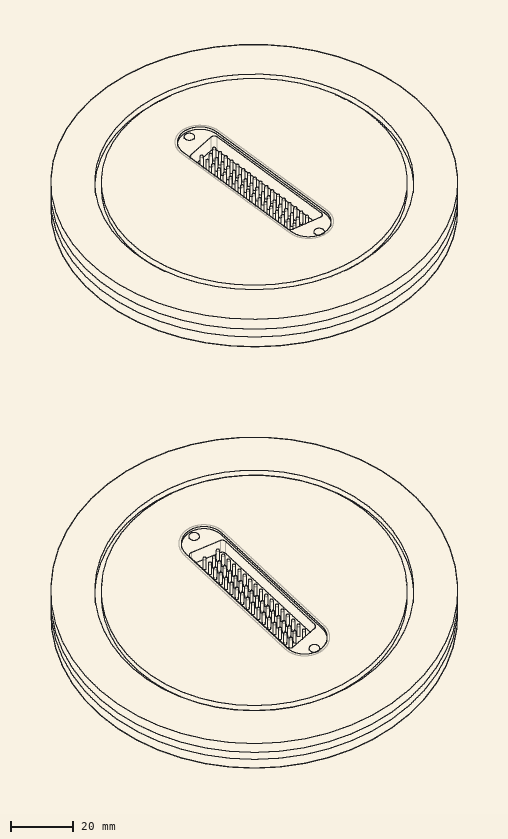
import cadquery as cq
import math

disc_diameter = 130.0
disc_height = 12.0
rim_groove_radius = 1.7

ring_outer_diameter = 102.0
ring_inner_diameter = 97.8
ring_depth = 2.6

body_length = 67.1
body_width = 16.0
body_wall = 0.8
recess_depth = 1.0

layer_height = 0.8
flange_bottom = -2 * layer_height
shell_bottom = -3 * layer_height

screw_spacing = 61.1
screw_diameter = 3.4
screw_hole_depth = 3.9
nose_radius = (body_length - screw_spacing) / 2
flange_corner_radius = 1.7

shell_width = 13.0
shell_mid_length = 49.8
shell_side_angle = 10.0
shell_corner_radius = 1.3
socket_depth = 5.9

pin_diameter = 1.0
pin_pitch = 2.7
pin_row_spacing = 2.7
pins_outer_row = 17
pins_middle_row = 16
pin_height = 5.3


def slot_prism(length, width, bottom, height):
    """Straight prism with semicircular ends, lying along X."""
    return cq.Workplane("XY").workplane(offset=bottom).slot2D(length, width).extrude(height)


def d_prism(wide_side, bottom, height):
    """D-shaped prism; wide_side is +1 when the long side faces +Y, -1 when it faces -Y."""
    half_width = shell_width / 2
    side_shift = half_width * math.tan(math.radians(shell_side_angle))
    long_half = shell_mid_length / 2 + side_shift
    short_half = shell_mid_length / 2 - side_shift
    corners = [
        (-long_half, wide_side * half_width),
        (long_half, wide_side * half_width),
        (short_half, -wide_side * half_width),
        (-short_half, -wide_side * half_width),
    ]
    prism = cq.Workplane("XY").workplane(offset=bottom).polyline(corners).close().extrude(height)
    return prism.edges("|Z").fillet(shell_corner_radius)


def make_disc():
    """Disc with a half-round groove round the rim and a ring groove in the top."""
    radius = disc_diameter / 2
    mid_height = disc_height / 2
    disc = (
        cq.Workplane("XZ")
        .moveTo(0, 0)
        .lineTo(radius, 0)
        .lineTo(radius, mid_height - rim_groove_radius)
        .threePointArc((radius - rim_groove_radius, mid_height), (radius, mid_height + rim_groove_radius))
        .lineTo(radius, disc_height)
        .lineTo(0, disc_height)
        .close()
        .revolve(360, (0, 0, 0), (0, 1, 0))
    )
    ring = (
        cq.Workplane("XY")
        .workplane(offset=disc_height - ring_depth)
        .circle(ring_outer_diameter / 2)
        .circle(ring_inner_diameter / 2)
        .extrude(ring_depth)
    )
    return disc.cut(ring)


def make_screw_flange():
    """Flange that tapers from the shell to a round nose about each screw hole."""
    screw_x = screw_spacing / 2
    half_width = shell_width / 2
    shoulder_x = shell_mid_length / 2
    shoulder_distance = math.hypot(screw_x - shoulder_x, half_width)
    shoulder_direction = math.atan2(half_width, shoulder_x - screw_x)
    side_normal_angle = shoulder_direction - math.acos(nose_radius / shoulder_distance)
    tip_x = screw_x + nose_radius / math.cos(side_normal_angle)
    corners = [
        (-tip_x, 0),
        (-shoulder_x, half_width),
        (shoulder_x, half_width),
        (tip_x, 0),
        (shoulder_x, -half_width),
        (-shoulder_x, -half_width),
    ]
    outline = cq.Workplane("XY").workplane(offset=flange_bottom).polyline(corners).close()
    flange = outline.extrude(layer_height)
    flange = flange.edges("|Z and (>Y or <Y)").fillet(flange_corner_radius)
    return flange.edges("|Z and (>X or <X)").fillet(nose_radius)


def make_pins(floor_z):
    """Round-tipped pins standing on the socket floor."""
    places = []
    rows = [(pin_row_spacing, pins_outer_row), (0, pins_middle_row), (-pin_row_spacing, pins_outer_row)]
    for row_y, count in rows:
        for index in range(count):
            places.append(((index - (count - 1) / 2) * pin_pitch, row_y))
    radius = pin_diameter / 2
    straight_height = pin_height - radius
    tip_offset = radius * math.sqrt(0.5)
    pin = (
        cq.Workplane("XZ")
        .lineTo(radius, 0)
        .lineTo(radius, straight_height)
        .threePointArc((tip_offset, straight_height + tip_offset), (0, pin_height))
        .close()
        .revolve(360, (0, 0, 0), (0, 1, 0))
        .val()
    )
    return (
        cq.Workplane("XY")
        .workplane(offset=floor_z)
        .pushPoints(places)
        .eachpoint(lambda place: pin.moved(place))
    )


def make_connector():
    """Connector body with its flange, shell, recess, socket, pins and screw holes."""
    recess_floor = disc_height - recess_depth
    socket_floor = recess_floor - socket_depth
    connector = slot_prism(body_length, body_width, -layer_height, disc_height + layer_height)
    connector = connector.union(make_screw_flange())
    connector = connector.union(d_prism(-1, shell_bottom, layer_height))
    recess = slot_prism(body_length - 2 * body_wall, body_width - 2 * body_wall, recess_floor, recess_depth)
    connector = connector.cut(recess)
    connector = connector.cut(d_prism(1, socket_floor, socket_depth))
    screw_holes = (
        cq.Workplane("XY")
        .workplane(offset=recess_floor - screw_hole_depth)
        .pushPoints([(-screw_spacing / 2, 0), (screw_spacing / 2, 0)])
        .circle(screw_diameter / 2)
        .extrude(screw_hole_depth)
    )
    connector = connector.cut(screw_holes)
    return connector.union(make_pins(socket_floor))


body_opening = slot_prism(body_length, body_width, 0, disc_height)
result = make_disc().cut(body_opening).union(make_connector(), clean=False)